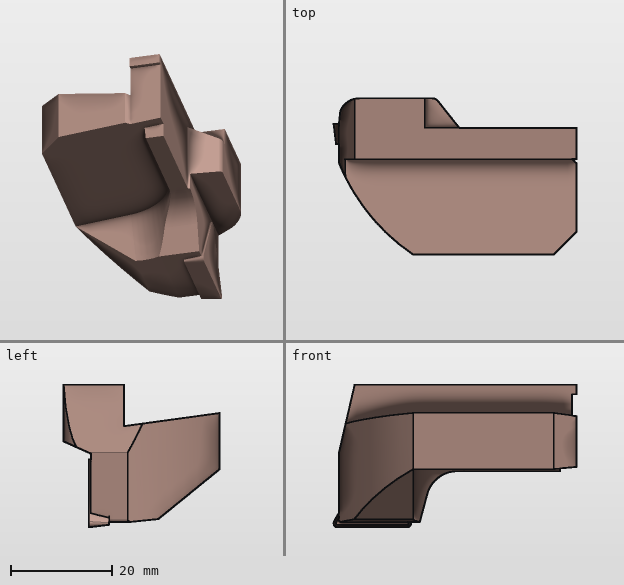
import cadquery as cq
import math


def slope(angle):
    return math.tan(math.radians(angle))



INSCRIBED_DIAMETER = 9.525
NOSE_RADIUS = 0.8
INSERT_THICKNESS = 4.06
INSERT_LAND = 0.12
INSERT_CLEARANCE_ANGLE = 7
INSCRIBED_RADIUS = INSCRIBED_DIAMETER / 2
NOSE_OFFSET = 2 * (INSCRIBED_RADIUS - NOSE_RADIUS)
INSERT_CENTRE_X = NOSE_OFFSET * math.cos(math.radians(30)) + NOSE_RADIUS
INSERT_CENTRE_Z = INSCRIBED_RADIUS

LEFT = 1.07
RIGHT = 47.99
BACK = 5.0
WIDTH = 30.9
FRONT = BACK - WIDTH
TOP = 28.2
BOTTOM = 1.06

STEP_Y = -7.0
SHANK_TOP_Z = 22.6
SHANK_TOP_ANGLE = 7.8
SHANK_BOTTOM_Z = 11.5
SHANK_BOTTOM_ANGLE = 5.4
RIGHT_CHAMFER = 4.5
RAIL_BACK = -0.85
RAIL_LIP_Z = 26.25
RELIEF_DEPTH = 0.85

SIDE_CORNER_Y = -7.74
SIDE_RADIUS = 40.0
FRONT_CORNER_X = 15.75
BACK_CORNER_RADIUS = 4.0
LEAN_Z = 14.8
LEAN_ANGLE = 13
HEAD_TOP_RIGHT = 18.03
LEDGE_RIGHT = 20.2
LEDGE_TAPER_END = 24.86
LEDGE_CORNER_RADIUS = 1.5
LEDGE_Z = 25.3
LEDGE_ANGLE = 9

LEG_BACK = -0.44
OVERHANG_Z = 14.55
OVERHANG_ANGLE = 24.2
LEG_FOOT_Y = -8.32
LEG_TOE_Y = -13.75
LEG_TOE_Z = 1.62
LEG_FOOT_RIGHT = 17.06
LEG_ANGLE = 15
LEG_ARC_RADIUS = 6.0
LEG_EDGE_ROUND = 0.4
WEB_Z = 11.06
WEB_RIGHT = 44.77
WEB_FILLET = 10.0
WEB_SETBACK = 21.3

FAR = 100.0


def yz_prism(points, x_start, x_end=FAR):
    """Prism along X from (y, z) points."""
    return cq.Workplane("YZ").workplane(offset=x_start).polyline(points).close().extrude(x_end - x_start)


def arc_middle(start, end, radius):
    """Middle of the arc from start to end that bulges to the right of the way it runs."""
    run_x = end[0] - start[0]
    run_y = end[1] - start[1]
    chord = math.hypot(run_x, run_y)
    bulge = radius - math.sqrt(radius**2 - (chord / 2) ** 2)
    middle_x = (start[0] + end[0]) / 2 + bulge * run_y / chord
    middle_y = (start[1] + end[1]) / 2 - bulge * run_x / chord
    return middle_x, middle_y


def make_insert():
    """Tapered triangular insert in its working place."""
    noses = []
    for angle in (90, 210, 330):
        nose_x = INSERT_CENTRE_X + NOSE_OFFSET * math.cos(math.radians(angle))
        nose_z = INSERT_CENTRE_Z + NOSE_OFFSET * math.sin(math.radians(angle))
        noses.append((nose_x, nose_z))

    def outline(depth):
        return cq.Workplane("XZ", origin=(0, -depth, 0)).polyline(noses).close().offset2D(NOSE_RADIUS)

    land = outline(0).extrude(INSERT_LAND)
    taper = outline(INSERT_LAND).extrude(INSERT_THICKNESS - INSERT_LAND, taper=INSERT_CLEARANCE_ANGLE)
    return land.union(taper)


def make_plan():
    """Outline of the holder from above, at full height."""
    side_corner = (LEFT, SIDE_CORNER_Y)
    front_corner = (FRONT_CORNER_X, FRONT)
    plan = (
        cq.Workplane("XY")
        .moveTo(*side_corner)
        .threePointArc(arc_middle(side_corner, front_corner, SIDE_RADIUS), front_corner)
        .lineTo(RIGHT - RIGHT_CHAMFER, FRONT)
        .lineTo(RIGHT, FRONT + RIGHT_CHAMFER)
        .lineTo(RIGHT, RAIL_BACK)
        .lineTo(LEDGE_TAPER_END, RAIL_BACK)
        .lineTo(LEDGE_RIGHT, BACK)
        .lineTo(LEFT, BACK)
        .close()
        .extrude(TOP)
    )
    back_corner = cq.selectors.NearestToPointSelector((LEFT, BACK, TOP / 2))
    plan = plan.edges(back_corner).fillet(BACK_CORNER_RADIUS)
    ledge_corner = cq.selectors.NearestToPointSelector((LEDGE_RIGHT, BACK, TOP / 2))
    return plan.edges(ledge_corner).fillet(LEDGE_CORNER_RADIUS)


def make_section():
    """Section of the shank, head and leg, running along X."""
    step_z = SHANK_TOP_Z - (STEP_Y - FRONT) * slope(SHANK_TOP_ANGLE)
    overhang_back_z = OVERHANG_Z + (BACK - LEG_BACK) * slope(OVERHANG_ANGLE)
    section = yz_prism(
        [
            (FRONT, SHANK_BOTTOM_Z),
            (FRONT, SHANK_TOP_Z),
            (STEP_Y, step_z),
            (STEP_Y, TOP),
            (BACK, TOP),
            (BACK, overhang_back_z),
            (LEG_BACK, OVERHANG_Z),
            (LEG_BACK, BOTTOM),
            (LEG_FOOT_Y, BOTTOM),
            (LEG_TOE_Y, LEG_TOE_Z),
        ],
        LEFT,
        RIGHT,
    )
    lower_left_edge = cq.selectors.NearestToPointSelector((LEFT, LEG_FOOT_Y / 2, BOTTOM))
    return section.edges(lower_left_edge).fillet(LEG_EDGE_ROUND)


def lean_cut():
    """Wedge above the left side that makes its upper part lean inward."""
    rise = FAR - LEAN_Z
    wedge = [(LEFT, LEAN_Z), (LEFT + rise * slope(LEAN_ANGLE), FAR), (LEFT, FAR)]
    return cq.Workplane("XZ").polyline(wedge).close().extrude(FAR, both=True)


def ledge_cut():
    """Space above the sloping ledge at the right end of the head."""
    drop = (FAR - RAIL_BACK) * slope(LEDGE_ANGLE)
    space = [(RAIL_BACK, LEDGE_Z), (FAR, LEDGE_Z - drop), (FAR, FAR), (RAIL_BACK, FAR)]
    return yz_prism(space, HEAD_TOP_RIGHT)


def below_shank(x_start):
    """Everything right of x_start that lies under the sloping bottom of the shank."""
    rise = (FAR + FRONT) * slope(SHANK_BOTTOM_ANGLE)
    bottom = [
        (FRONT, SHANK_BOTTOM_Z),
        (FAR + 2 * FRONT, SHANK_BOTTOM_Z + rise),
        (FAR + 2 * FRONT, -FAR),
        (FRONT, -FAR),
    ]
    return yz_prism(bottom, x_start)


def web_front_cut():
    """Space in front of the web, square to the shank bottom, with a large fillet next to the leg."""
    bottom_normal = (0, slope(SHANK_BOTTOM_ANGLE), -1)
    shank_bottom = cq.Plane((0, FRONT, SHANK_BOTTOM_Z), (1, 0, 0), bottom_normal)
    fillet_centre_x = FRONT_CORNER_X + WEB_FILLET
    fillet_centre_y = WEB_SETBACK - WEB_FILLET
    reach = WEB_FILLET * math.sqrt(0.5)
    return (
        cq.Workplane(shank_bottom)
        .moveTo(FRONT_CORNER_X, FAR)
        .lineTo(FRONT_CORNER_X, -fillet_centre_y)
        .threePointArc(
            (fillet_centre_x - reach, -fillet_centre_y - reach),
            (fillet_centre_x, -WEB_SETBACK),
        )
        .lineTo(FAR, -WEB_SETBACK)
        .lineTo(FAR, FAR)
        .close()
        .extrude(FAR)
    )


def leg_right_cut():
    """Space right of the leg and under the web, rounded where they meet."""
    corner_x = LEG_FOOT_RIGHT + (WEB_Z - BOTTOM) * slope(LEG_ANGLE)
    space = (
        cq.Workplane("XZ")
        .polyline([(LEG_FOOT_RIGHT, BOTTOM), (corner_x, WEB_Z), (FAR, WEB_Z), (FAR, BOTTOM)])
        .close()
        .extrude(FAR, both=True)
    )
    return space.edges(cq.selectors.NearestToPointSelector((corner_x, 0, WEB_Z))).fillet(LEG_ARC_RADIUS)


def end_relief():
    """Relief in the right end under the rail lip, running out at 45 degrees."""
    relief_x = RIGHT - RELIEF_DEPTH
    plan = [(RIGHT, STEP_Y - RELIEF_DEPTH), (relief_x, STEP_Y), (relief_x, BACK), (RIGHT, BACK)]
    return cq.Workplane("XY").polyline(plan).close().extrude(RAIL_LIP_Z)


insert = make_insert()
holder = make_plan().intersect(make_section())
cuts = [
    lean_cut(),
    ledge_cut(),
    web_front_cut(),
    leg_right_cut(),
    below_shank(WEB_RIGHT),
    end_relief(),
    insert,
]
for cut in cuts:
    holder = holder.cut(cut)

result = cq.Compound.makeCompound([holder.val(), insert.val()])